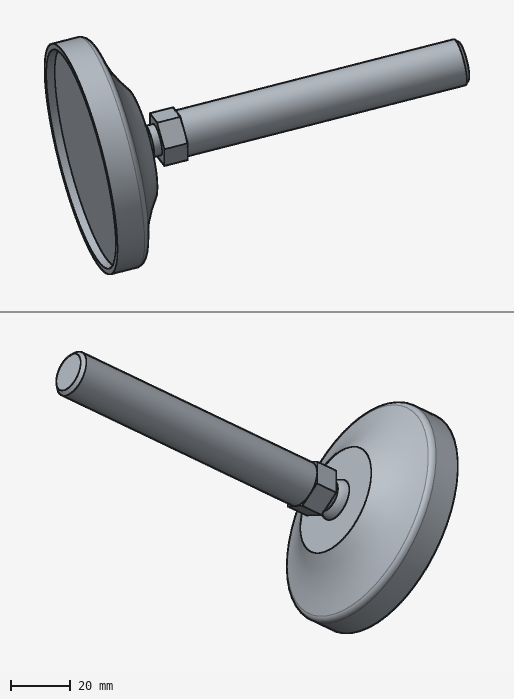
import cadquery as cq
import math

total_length = 135.0

foot_radius = 80.0 / 2
foot_rim_height = 9.5
foot_edge_height = 11.5
foot_edge_radius = 38.3
foot_edge_bulge_radius = 39.4
foot_edge_bulge_height = 10.8
foot_height = 20.8
foot_top_radius = 19.3
flare_sag = 1.1

recess_radius = 76.0 / 2
recess_depth = 3.0

ball_radius = 7.5
neck_radius = 11.0 / 2
ball_center = 18.9

hex_start = 26.9
hex_length = 8.2
stud_diameter = 16.0
hex_across_flats = stud_diameter
stud_chamfer = 1.4


def plane_at(y):
    """Plane normal to +Y, with its local x along Z so hexagon corners point along Z."""
    return cq.Workplane(cq.Plane(origin=(0, y, 0), xDir=(0, 0, 1), normal=(0, 1, 0)))


def make_foot():
    """Revolved disc with a rounded rim, a concave flare and a recessed underside."""
    run = foot_edge_radius - foot_top_radius
    rise = foot_height - foot_edge_height
    chord = math.hypot(run, rise)
    flare_middle = (
        (foot_edge_radius + foot_top_radius) / 2 - flare_sag * rise / chord,
        (foot_edge_height + foot_height) / 2 - flare_sag * run / chord,
    )
    return (
        cq.Workplane("XY")
        .moveTo(0, recess_depth)
        .lineTo(recess_radius, recess_depth)
        .lineTo(recess_radius, 0)
        .lineTo(foot_radius, 0)
        .lineTo(foot_radius, foot_rim_height)
        .threePointArc(
            (foot_edge_bulge_radius, foot_edge_bulge_height),
            (foot_edge_radius, foot_edge_height),
        )
        .threePointArc(flare_middle, (foot_top_radius, foot_height))
        .lineTo(0, foot_height)
        .close()
        .revolve(360, (0, 0, 0), (0, 1, 0))
    )


def make_joint():
    """Ball seated in the foot, with the cylindrical neck above it."""
    ball = cq.Workplane("XY").sphere(ball_radius).translate((0, ball_center, 0))
    neck = plane_at(ball_center).circle(neck_radius).extrude(hex_start - ball_center)
    return ball.union(neck)


def make_stud():
    """Hexagon followed by the plain stud, chamfered at its free end."""
    corner_diameter = hex_across_flats / math.cos(math.pi / 6)
    hexagon = plane_at(hex_start).polygon(6, corner_diameter).extrude(hex_length)
    stud_start = hex_start + hex_length
    stud = (
        plane_at(stud_start)
        .circle(stud_diameter / 2)
        .extrude(total_length - stud_start)
        .faces(">Y")
        .chamfer(stud_chamfer)
    )
    return hexagon.union(stud)


result = make_foot().union(make_joint()).union(make_stud())